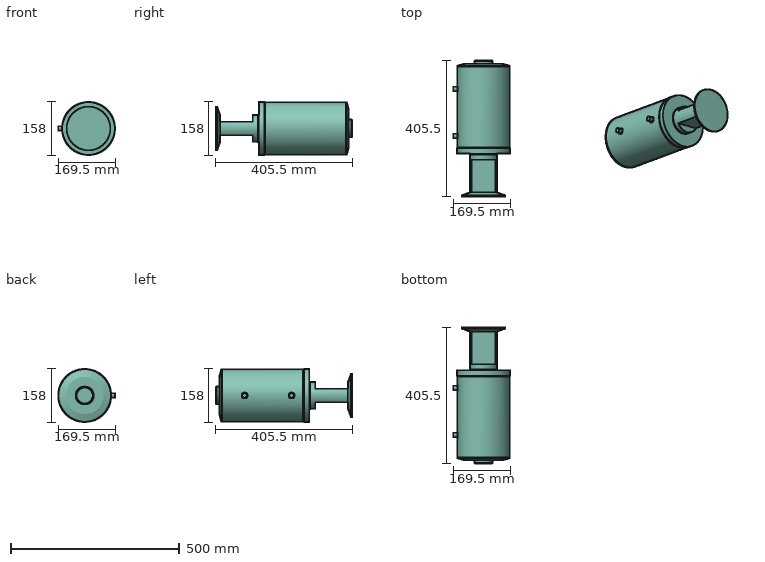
import cadquery as cq

total_length = 405.5

foot_radius = 65.0
foot_rim = 4.0
foot_height = 13.0
shaft_radius = 40.0
flat_half_gap = 20.3
flats_end = 109.5
neck_start = 125.3
neck_radius = 40.5

flange_radius = 79.0
flange_start = 127.7
flange_end = 144.7
flange_chamfer = 1.2
drum_radius = 78.2
cap_radius = 78.0
cap_start = 385.5
drum_start = 146.8
cone_start = 389.2
cone_end = 395.3
cone_top_radius = 55.5

knob_radius = 26.8
knob_chamfer = 3.0

port_radius = 7.0
port_tip_x = -90.5
port_positions = (180.5, 320.0)
recess_radius = 9.0
recess_floor_x = -77.0


def make_turned_body():
    """Foot, shaft, flange, drum and knob revolved about the Y axis."""
    profile = [
        (0, 0),
        (foot_radius, 0),
        (foot_radius, foot_rim),
        (shaft_radius, foot_height),
        (shaft_radius, neck_start),
        (neck_radius, neck_start),
        (neck_radius, flange_start),
        (flange_radius, flange_start),
        (flange_radius, flange_end - flange_chamfer),
        (flange_radius - flange_chamfer, flange_end),
        (flange_radius - flange_chamfer, drum_start),
        (drum_radius, drum_start),
        (drum_radius, cap_start),
        (cap_radius, cap_start),
        (cap_radius, cone_start),
        (cone_top_radius, cone_end),
        (knob_radius, cone_end),
        (knob_radius, total_length - knob_chamfer),
        (knob_radius - knob_chamfer, total_length),
        (0, total_length),
    ]
    return cq.Workplane("XY").polyline(profile).close().revolve(360, (0, 0, 0), (0, 1, 0))


def cut_shaft_flats(body):
    """Cut the two parallel flats above and below the shaft axis."""
    flat_length = flats_end - foot_height
    cut_depth = shaft_radius - flat_half_gap
    for side in (1, -1):
        cutter = cq.Workplane("XY").box(2 * shaft_radius, flat_length, cut_depth).translate(
            (0, (foot_height + flats_end) / 2, side * (flat_half_gap + cut_depth / 2))
        )
        body = body.cut(cutter)
    return body


def side_cylinder(radius, y):
    """Cylinder along X from the port tip to the recess floor."""
    start = cq.Vector(port_tip_x, y, 0)
    length = recess_floor_x - port_tip_x
    return cq.Workplane(cq.Solid.makeCylinder(radius, length, start, cq.Vector(1, 0, 0)))


def add_ports(body):
    """Set each port in a shallow clearance recess in the drum wall."""
    for y in port_positions:
        body = body.cut(side_cylinder(recess_radius, y))
        body = body.union(side_cylinder(port_radius, y))
    return body


result = add_ports(cut_shaft_flats(make_turned_body()))